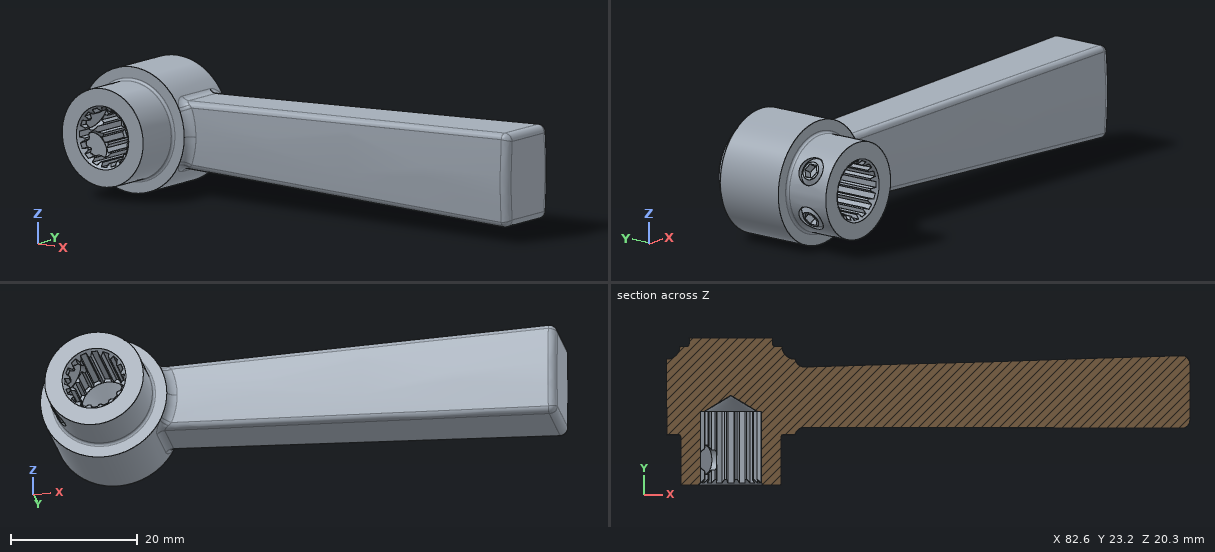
import cadquery as cq
import math


OVERALL_LENGTH = 82.55

HUB_RADIUS = 10.15
BOSS_RADIUS = 7.9
FLANGE_RADIUS = 8.1
CAP_RADIUS = 6.6
HUB_FRONT_Y = 7.9
HUB_BACK_Y = 19.9
FLANGE_BACK_Y = 21.9
CAP_BACK_Y = 23.2
BOSS_ROOT_FILLET = 0.4
CAP_ROOT_FILLET = 0.4
COVE_RADIUS = FLANGE_BACK_Y - HUB_BACK_Y

TOOTH_COUNT = 16
BORE_MOUTH_RADIUS = 5.1
BORE_MAJOR_RADIUS = 4.8
BORE_MINOR_RADIUS = 4.2
SERRATION_DEPTH = 11.55
DRILL_POINT_ANGLE = 118
GROOVE_FLOOR_SHARE = 0.5
GROOVE_MOUTH_SHARE = 0.8

LEVER_START_X = 6.6
LEVER_END_X = OVERALL_LENGTH - HUB_RADIUS
LEVER_START_HALF_WIDTH = 5.4
LEVER_END_HALF_WIDTH = 7.6
LEVER_START_FRONT_Y = 9.1
LEVER_START_BACK_Y = 18.5
LEVER_END_FRONT_Y = 8.9
LEVER_END_BACK_Y = 20.5
CROWN_RADIUS = 70.2
LEVER_EDGE_FILLET = 1.0
LEVER_END_FILLET = 1.2
LEVER_ROOT_FILLET = 1.5

SCREW_RADIUS = 2.3
SCREW_Y = 4.0
SCREW_ANGLES = (150, 210)
SCREW_CHAMFER = 0.8
SOCKET_WIDTH = 2.15
SOCKET_DEPTH = 1.5
SOCKET_SIDES = 6

COINCIDENCE = 0.01


def hub_blank():
    """Turned hub with the front boss, the cove and the back cap."""
    cap_root_y = FLANGE_BACK_Y + CAP_ROOT_FILLET
    boss_root_y = HUB_FRONT_Y - BOSS_ROOT_FILLET
    diagonal = math.cos(math.pi / 4)

    def concave_mid(center_radius, center_y, radius, y_sign):
        """Middle point of a concave quarter arc about a given centre."""
        return center_radius - radius * diagonal, center_y + y_sign * radius * diagonal

    outline = (
        cq.Workplane("XY")
        .lineTo(BOSS_RADIUS, 0)
        .lineTo(BOSS_RADIUS, boss_root_y)
        .threePointArc(
            concave_mid(BOSS_RADIUS + BOSS_ROOT_FILLET, boss_root_y, BOSS_ROOT_FILLET, 1),
            (BOSS_RADIUS + BOSS_ROOT_FILLET, HUB_FRONT_Y),
        )
        .lineTo(HUB_RADIUS, HUB_FRONT_Y)
        .lineTo(HUB_RADIUS, HUB_BACK_Y)
        .lineTo(FLANGE_RADIUS + COVE_RADIUS, HUB_BACK_Y)
        .threePointArc(
            concave_mid(FLANGE_RADIUS + COVE_RADIUS, FLANGE_BACK_Y, COVE_RADIUS, -1),
            (FLANGE_RADIUS, FLANGE_BACK_Y),
        )
        .lineTo(CAP_RADIUS + CAP_ROOT_FILLET, FLANGE_BACK_Y)
        .threePointArc(
            concave_mid(CAP_RADIUS + CAP_ROOT_FILLET, cap_root_y, CAP_ROOT_FILLET, -1),
            (CAP_RADIUS, cap_root_y),
        )
        .lineTo(CAP_RADIUS, CAP_BACK_Y)
        .lineTo(0, CAP_BACK_Y)
        .close()
    )
    return outline.revolve(360, (0, 0, 0), (0, 1, 0))


def lever_section(x, half_width, front_y, back_y):
    """Closed section across the lever with a shallow crown on its front and back sides."""
    sagitta = CROWN_RADIUS - math.sqrt(CROWN_RADIUS**2 - half_width**2)
    return (
        cq.Workplane("YZ", origin=(x, 0, 0))
        .moveTo(front_y + sagitta, -half_width)
        .lineTo(back_y - sagitta, -half_width)
        .threePointArc((back_y, 0), (back_y - sagitta, half_width))
        .lineTo(front_y + sagitta, half_width)
        .threePointArc((front_y, 0), (front_y + sagitta, -half_width))
        .close()
        .val()
    )


def lever_arm():
    """Tapered arm with rounded long edges and a rounded free end."""
    start = lever_section(LEVER_START_X, LEVER_START_HALF_WIDTH, LEVER_START_FRONT_Y, LEVER_START_BACK_Y)
    end = lever_section(LEVER_END_X, LEVER_END_HALF_WIDTH, LEVER_END_FRONT_Y, LEVER_END_BACK_Y)
    arm = cq.Workplane(cq.Solid.makeLoft([start, end], True))
    arm = arm.edges("not(<X or >X)").fillet(LEVER_EDGE_FILLET)
    return arm.faces(">X").edges().fillet(LEVER_END_FILLET)


def serrated_bore():
    """Blind bore with straight serrations, a drill point and a bevelled mouth."""
    pitch = 2 * math.pi / TOOTH_COUNT
    points = []
    for index in range(TOOTH_COUNT):
        groove_angle = index * pitch
        for radius, offset in (
            (BORE_MINOR_RADIUS, -GROOVE_MOUTH_SHARE * pitch / 2),
            (BORE_MAJOR_RADIUS, -GROOVE_FLOOR_SHARE * pitch / 2),
            (BORE_MAJOR_RADIUS, GROOVE_FLOOR_SHARE * pitch / 2),
            (BORE_MINOR_RADIUS, GROOVE_MOUTH_SHARE * pitch / 2),
        ):
            angle = groove_angle + offset
            points.append((radius * math.cos(angle), radius * math.sin(angle)))
    grooves = cq.Workplane("XZ").polyline(points).close().extrude(-SERRATION_DEPTH)
    point_height = BORE_MINOR_RADIUS / math.tan(math.radians(DRILL_POINT_ANGLE / 2))
    mouth_bevel = BORE_MOUTH_RADIUS - BORE_MINOR_RADIUS
    core = (
        cq.Workplane("XY")
        .lineTo(BORE_MOUTH_RADIUS, 0)
        .lineTo(BORE_MINOR_RADIUS, mouth_bevel)
        .lineTo(BORE_MINOR_RADIUS, SERRATION_DEPTH)
        .lineTo(0, SERRATION_DEPTH + point_height)
        .close()
        .revolve(360, (0, 0, 0), (0, 1, 0))
    )
    return grooves.union(core)


def screw_plane(angle, distance):
    """Plane across a screw axis, facing outward, at a distance from the hub axis."""
    direction = (math.cos(math.radians(angle)), 0, math.sin(math.radians(angle)))
    origin = (distance * direction[0], SCREW_Y, distance * direction[2])
    return cq.Plane(origin=origin, xDir=(0, 1, 0), normal=direction)


def screw_hole(angle):
    """Radial hole from the hub axis out through the boss wall."""
    return cq.Workplane(screw_plane(angle, 0)).circle(SCREW_RADIUS).extrude(HUB_RADIUS)


def set_screw(angle):
    """Headless screw with a hexagon socket, ending at the bore."""
    length = BOSS_RADIUS - BORE_MAJOR_RADIUS
    body = (
        cq.Workplane(screw_plane(angle, BORE_MAJOR_RADIUS))
        .circle(SCREW_RADIUS)
        .extrude(length)
        .faces(cq.selectors.DirectionMinMaxSelector(screw_plane(angle, 0).zDir, True))
        .chamfer(SCREW_CHAMFER)
    )
    socket = (
        cq.Workplane(screw_plane(angle, BOSS_RADIUS))
        .polygon(SOCKET_SIDES, SOCKET_WIDTH / math.cos(math.pi / SOCKET_SIDES))
        .extrude(-SOCKET_DEPTH)
    )
    return body.cut(socket)


def on_hub_wall(vertex, middle_y, half_length):
    """True for a vertex on the cylindrical wall of the hub, away from the rims of the wall."""
    on_cylinder = math.isclose(math.hypot(vertex.X, vertex.Z), HUB_RADIUS, abs_tol=COINCIDENCE)
    between_rims = abs(vertex.Y - middle_y) < half_length - COINCIDENCE
    return on_cylinder and between_rims


def lever_handle():
    """Hub and lever in one piece, blended at the lever root, with the bore and screw holes."""
    handle = hub_blank().union(lever_arm())
    middle_y = (HUB_FRONT_Y + HUB_BACK_Y) / 2
    half_length = (HUB_BACK_Y - HUB_FRONT_Y) / 2
    root_edges = [
        edge
        for edge in handle.edges().vals()
        if all(on_hub_wall(vertex, middle_y, half_length) for vertex in edge.Vertices())
    ]
    handle = handle.newObject(root_edges).fillet(LEVER_ROOT_FILLET)
    handle = handle.cut(serrated_bore())
    for angle in SCREW_ANGLES:
        handle = handle.cut(screw_hole(angle))
    return handle


handle = lever_handle()
set_screws = [set_screw(angle).val() for angle in SCREW_ANGLES]
result = cq.Compound.makeCompound([handle.val(), *set_screws])